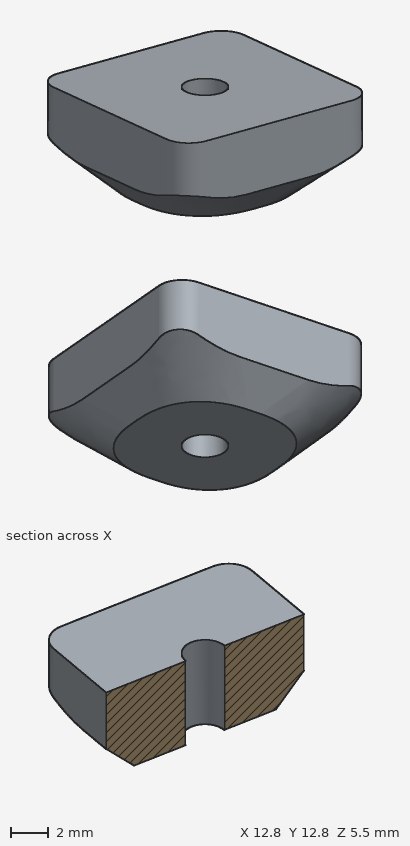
import cadquery as cq

width = 12.8
height = 5.5
corner_radius = 1.51
hole_diameter = 2.5

bevel = 1.82
flank_fillet_radius = 5.91


def rounded_plate():
    """Square plate standing on the XY plane."""
    block = cq.Workplane("XY").box(width, width, height, centered=(True, True, False))
    return block.edges("|Z").fillet(corner_radius)


def flank_envelope():
    """Inverted pyramid frustum that widens upward at 45 degrees, its slanted edges filleted."""
    bottom_side = width - 2 * bevel
    top_side = bottom_side + 2 * height
    frustum = (
        cq.Workplane("XY")
        .rect(bottom_side, bottom_side)
        .workplane(offset=height)
        .rect(top_side, top_side)
        .loft(ruled=True)
    )
    return frustum.edges("not (|X or |Y)").fillet(flank_fillet_radius)


body = rounded_plate().intersect(flank_envelope())
result = body.faces(">Z").workplane().hole(hole_diameter)